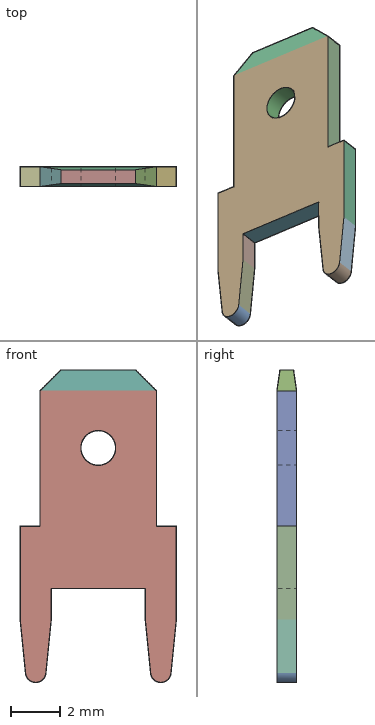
import cadquery as cq
import math

thickness = 0.81
total_height = 12.7
base_width = 6.35

blade_width = 4.75
blade_height = 6.35
lead_in_height = 0.86
blade_tip_width = 3.02
blade_tip_thickness = 0.56
hole_diameter = 1.4
hole_below_top = 3.175

leg_pitch = 5.08
leg_height = 3.81
leg_taper_height = 2.54
leg_end_radius = 0.42

leg_width = base_width - leg_pitch
shoulder_z = total_height - blade_height
lead_in_z = total_height - lead_in_height
hole_z = total_height - hole_below_top


def make_plate(width, bottom_z, top_z):
    """Full-thickness rectangular plate centred on X and Y."""
    height = top_z - bottom_z
    return cq.Workplane("XY", origin=(0, 0, bottom_z)).rect(width, thickness).extrude(height)


def make_lead_in():
    """Blade end that narrows in both width and thickness towards the top."""
    return (
        cq.Workplane("XY", origin=(0, 0, lead_in_z))
        .rect(blade_width, thickness)
        .workplane(offset=lead_in_height)
        .rect(blade_tip_width, blade_tip_thickness)
        .loft(ruled=True)
    )


def make_leg(center_x):
    """Straight leg that tapers down to a rounded end."""
    half_width = leg_width / 2
    arc_center_drop = leg_taper_height - leg_end_radius
    corner_distance = math.hypot(half_width, arc_center_drop)
    corner_angle = math.atan2(half_width, arc_center_drop)
    flank_angle = corner_angle - math.asin(leg_end_radius / corner_distance)
    half_end = leg_end_radius * math.cos(flank_angle)
    leg_end_height = leg_end_radius * (1 - math.sin(flank_angle))
    return (
        cq.Workplane("XZ", origin=(center_x, thickness / 2, 0))
        .moveTo(-half_width, leg_height)
        .lineTo(-half_width, leg_taper_height)
        .lineTo(-half_end, leg_end_height)
        .threePointArc((0, 0), (half_end, leg_end_height))
        .lineTo(half_width, leg_taper_height)
        .lineTo(half_width, leg_height)
        .close()
        .extrude(thickness)
    )


def make_hole():
    """Cutter for the detent hole through the blade."""
    return (
        cq.Workplane("XZ", origin=(0, thickness / 2, hole_z))
        .circle(hole_diameter / 2)
        .extrude(thickness)
    )


base = make_plate(base_width, leg_height, shoulder_z)
blade = make_plate(blade_width, shoulder_z, lead_in_z)
result = base.union(blade).union(make_lead_in())
for side in (-1, 1):
    result = result.union(make_leg(side * leg_pitch / 2))
result = result.cut(make_hole()).clean()